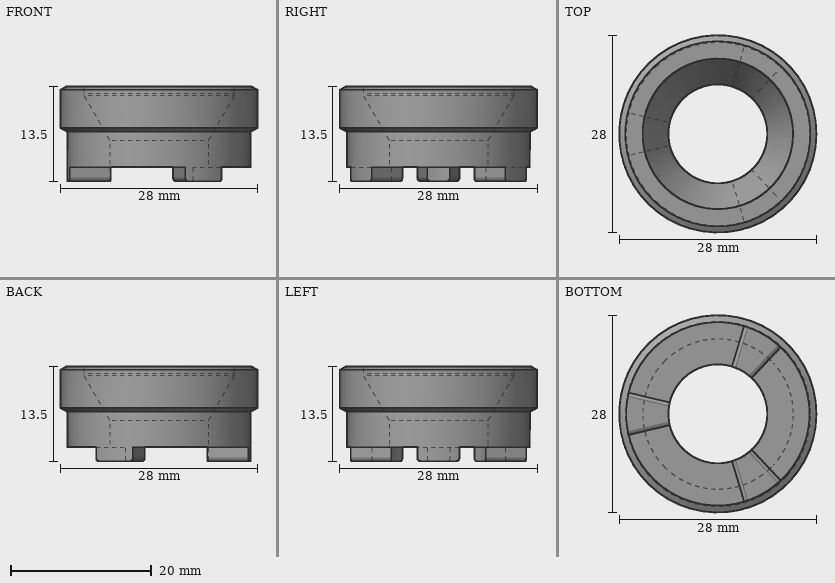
import cadquery as cq
import math

total_height = 13.45
lug_height = 2.0
neck_height = 5.0

flange_radius = 14.0
neck_radius = 13.0
flank_angle = 30.0
top_bevel_height = 0.5

bore_radius = 7.0
mouth_radius = 21.31 / 2
mouth_depth = 1.0
seat_undercut = 0.035
seat_angle = 60.0
bore_top = 5.82

lug_count = 3
lug_width = 6.0
lug_tip_fillet = 0.5
first_gap_direction = 0.0

flank_tangent = math.tan(math.radians(flank_angle))
shoulder_level = lug_height + neck_height
flange_bottom = shoulder_level + (flange_radius - neck_radius) * flank_tangent
flange_top = total_height - top_bevel_height
rim_radius = flange_radius - top_bevel_height / flank_tangent
mouth_bottom = total_height - mouth_depth
seat_radius = mouth_radius + seat_undercut
seat_top = bore_top + (seat_radius - bore_radius) * math.tan(math.radians(seat_angle))


def make_ring():
    """Revolved body: neck, bevelled flange, mouth, conical seat and bore."""
    profile = (
        cq.Workplane("XZ")
        .moveTo(bore_radius, 0)
        .lineTo(neck_radius, 0)
        .lineTo(neck_radius, shoulder_level)
        .lineTo(flange_radius, flange_bottom)
        .lineTo(flange_radius, flange_top)
        .lineTo(rim_radius, total_height)
        .lineTo(mouth_radius, total_height)
        .lineTo(mouth_radius, mouth_bottom)
        .lineTo(seat_radius, mouth_bottom)
        .lineTo(seat_radius, seat_top)
        .lineTo(bore_radius, bore_top)
        .close()
    )
    return profile.revolve(360, (0, 0, 0), (0, 1, 0))


def polar(radius, degrees):
    angle = math.radians(degrees)
    return (radius * math.cos(angle), radius * math.sin(angle))


def make_gap(direction):
    """Cutter that clears the space between two lugs, with radial sides."""
    lug_half_angle = math.degrees(math.asin(lug_width / 2 / neck_radius))
    half_angle = 180 / lug_count - lug_half_angle
    start = direction - half_angle
    end = direction + half_angle
    return (
        cq.Workplane("XY")
        .lineTo(*polar(flange_radius, start))
        .threePointArc(polar(flange_radius, direction), polar(flange_radius, end))
        .close()
        .extrude(lug_height)
    )


result = make_ring()
for index in range(lug_count):
    result = result.cut(make_gap(first_gap_direction + index * 360 / lug_count))
result = result.faces("<Z").edges("%LINE").fillet(lug_tip_fillet)